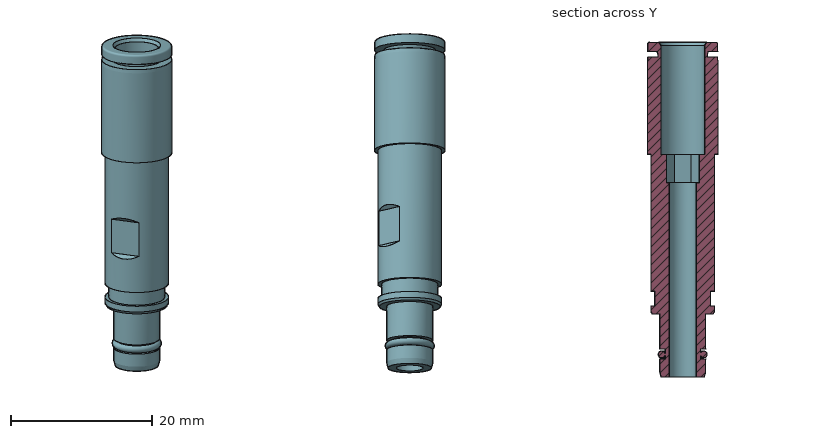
import cadquery as cq
import math

total_height = 47.5
collet_bottom = 46.15
collar_top = 45.4
collar_bottom = 31.6
body_bottom = 12.15
flange_top = 10.1
flange_bottom = 8.95
ring_groove_top = 4.0
ring_groove_bottom = 2.6

collar_diameter = 10.0
collar_radius = collar_diameter / 2
collet_radius = 5.0
collet_neck_radius = 3.5
body_radius = 4.5
neck_radius = 4.0
spigot_radius = 3.3
ring_groove_radius = 2.5

collet_rounding = 0.3
collet_flare_width = 0.15
collet_flare_height = 0.45
collar_taper_width = 0.05
collar_taper_height = 0.55
flange_taper_width = 0.2
flange_taper_height = 0.35
spigot_taper_width = 0.2
spigot_taper_height = 0.7

seal_thickness = 1.0
seal_height = 3.25
seal_overlap = 0.025

bore_radius = 3.1
bore_bottom = collar_bottom
mouth_taper_width = 0.3
mouth_taper_height = 0.48
hex_across_flats = 4.0
hex_depth = hex_across_flats
through_hole_radius = 1.9

flat_distance = neck_radius
flat_bottom = 17.55
flat_top = 22.5


def make_outside():
    """Revolve the stepped outside, from the bottom end to the top."""
    collet_arc_x = collet_radius - collet_rounding
    collet_arc_z = total_height - collet_rounding
    arc_middle = collet_rounding * math.sin(math.radians(45))
    outline = (
        cq.Workplane("XZ")
        .lineTo(spigot_radius - spigot_taper_width, 0)
        .lineTo(spigot_radius, spigot_taper_height)
        .lineTo(spigot_radius, ring_groove_bottom)
        .lineTo(ring_groove_radius, ring_groove_bottom)
        .lineTo(ring_groove_radius, ring_groove_top)
        .lineTo(spigot_radius, ring_groove_top)
        .lineTo(spigot_radius, flange_bottom)
        .lineTo(body_radius - flange_taper_width, flange_bottom)
        .lineTo(body_radius, flange_bottom + flange_taper_height)
        .lineTo(body_radius, flange_top)
        .lineTo(neck_radius, flange_top)
        .lineTo(neck_radius, body_bottom)
        .lineTo(body_radius, body_bottom)
        .lineTo(body_radius, collar_bottom)
        .lineTo(collar_radius, collar_bottom)
        .lineTo(collar_radius, collar_top - collar_taper_height)
        .lineTo(collar_radius - collar_taper_width, collar_top)
        .lineTo(collet_neck_radius, collar_top)
        .lineTo(collet_neck_radius, collet_bottom - collet_flare_height)
        .lineTo(collet_neck_radius + collet_flare_width, collet_bottom)
        .lineTo(collet_radius, collet_bottom)
        .lineTo(collet_radius, collet_arc_z)
        .threePointArc(
            (collet_arc_x + arc_middle, collet_arc_z + arc_middle),
            (collet_arc_x, total_height),
        )
        .lineTo(0, total_height)
        .close()
    )
    return outline.revolve(360, (0, 0), (0, 1))


def make_seal():
    """Seal ring of round section, lying on the groove floor."""
    section_radius = seal_thickness / 2
    ring_radius = ring_groove_radius + section_radius - seal_overlap
    return cq.Workplane(cq.Solid.makeTorus(ring_radius, section_radius, cq.Vector(0, 0, seal_height)))


def make_inside():
    """Tube bore with a tapered mouth, hexagon socket and through hole."""
    bore_depth = total_height - bore_bottom
    bore = cq.Workplane("XY").workplane(offset=bore_bottom).circle(bore_radius).extrude(bore_depth)
    mouth = cq.Workplane(
        cq.Solid.makeCone(
            bore_radius,
            bore_radius + mouth_taper_width,
            mouth_taper_height,
            cq.Vector(0, 0, total_height - mouth_taper_height),
        )
    )
    hex_across_corners = hex_across_flats / math.cos(math.radians(30))
    socket = (
        cq.Workplane("XY")
        .workplane(offset=bore_bottom - hex_depth)
        .polygon(6, hex_across_corners)
        .extrude(hex_depth)
    )
    hole = cq.Workplane("XY").circle(through_hole_radius).extrude(bore_bottom)
    return bore.union(mouth).union(socket).union(hole)


def make_wrench_flat(side):
    """Cutter for one flat with 45 degree ends; side is -1 for the front, 1 for the back."""
    ramp = 2 * (body_radius - flat_distance)
    profile = [
        (side * flat_distance, flat_bottom),
        (side * (flat_distance + ramp), flat_bottom - ramp),
        (side * (flat_distance + ramp), flat_top + ramp),
        (side * flat_distance, flat_top),
    ]
    return cq.Workplane("YZ").polyline(profile).close().extrude(body_radius, both=True)


result = make_outside().union(make_seal()).cut(make_inside())
for side in (-1, 1):
    result = result.cut(make_wrench_flat(side))